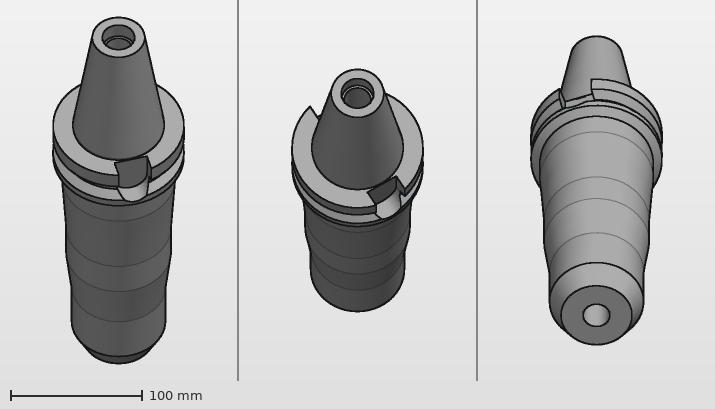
import cadquery as cq

total_height = 351.8
gauge_z = 250.0
flange_top_z = 248.5
upper_rim_bottom_z = 235.0
groove_top_z = 230.5
groove_bottom_z = 224.0
lower_rim_top_z = 218.8
lower_rim_bottom_z = 212.5
collar_top_z = 207.5
collar_bottom_z = 186.8
waist_top_z = 129.8
waist_bottom_z = 100.3
nose_top_z = 59.8
nose_chamfer_z = 18.5

flange_radius = 100.0 / 2
taper_slope = 7 / 24 / 2
gauge_radius = 35.0
taper_tip_radius = gauge_radius - (total_height - gauge_z) * taper_slope
groove_radius = 43.3
collar_radius = 43.3
waist_radius = 40.0
nose_radius = 36.0
nose_tip_radius = 27.0

bore_radius = 10.2
mouth_radius = 12.3
mouth_depth = 13.0

slot_width = 25.7
slot_floor_x = 35.5
slot_bottom_z = 215.5


def make_body():
    """Revolve the outer profile about Z."""
    profile = [
        (0, 0),
        (nose_tip_radius, 0),
        (nose_radius, nose_chamfer_z),
        (nose_radius, nose_top_z),
        (waist_radius, waist_bottom_z),
        (waist_radius, waist_top_z),
        (collar_radius, collar_bottom_z),
        (collar_radius, collar_top_z),
        (flange_radius, lower_rim_bottom_z),
        (flange_radius, lower_rim_top_z),
        (groove_radius, groove_bottom_z),
        (groove_radius, groove_top_z),
        (flange_radius, upper_rim_bottom_z),
        (flange_radius, flange_top_z),
        (gauge_radius, flange_top_z),
        (gauge_radius, gauge_z),
        (taper_tip_radius, total_height),
        (0, total_height),
    ]
    return cq.Workplane("XZ").polyline(profile).close().revolve(360, (0, 0), (0, 1))


def make_bore():
    """Through bore plus its wider mouth at the top."""
    bore = cq.Workplane("XY").circle(bore_radius).extrude(total_height)
    mouth = (
        cq.Workplane("XY")
        .workplane(offset=total_height - mouth_depth)
        .circle(mouth_radius)
        .extrude(mouth_depth)
    )
    return bore.union(mouth)


def make_slot():
    """Cutter for the +X drive slot, open at the flange top and rim."""
    half_width = slot_width / 2
    arc_center_z = slot_bottom_z + half_width
    return (
        cq.Workplane("YZ")
        .workplane(offset=slot_floor_x)
        .moveTo(-half_width, flange_top_z)
        .lineTo(-half_width, arc_center_z)
        .threePointArc((0, slot_bottom_z), (half_width, arc_center_z))
        .lineTo(half_width, flange_top_z)
        .close()
        .extrude(flange_radius - slot_floor_x)
    )


result = make_body().cut(make_bore())
for angle in (0, 180):
    result = result.cut(make_slot().rotate((0, 0, 0), (0, 0, 1), angle))